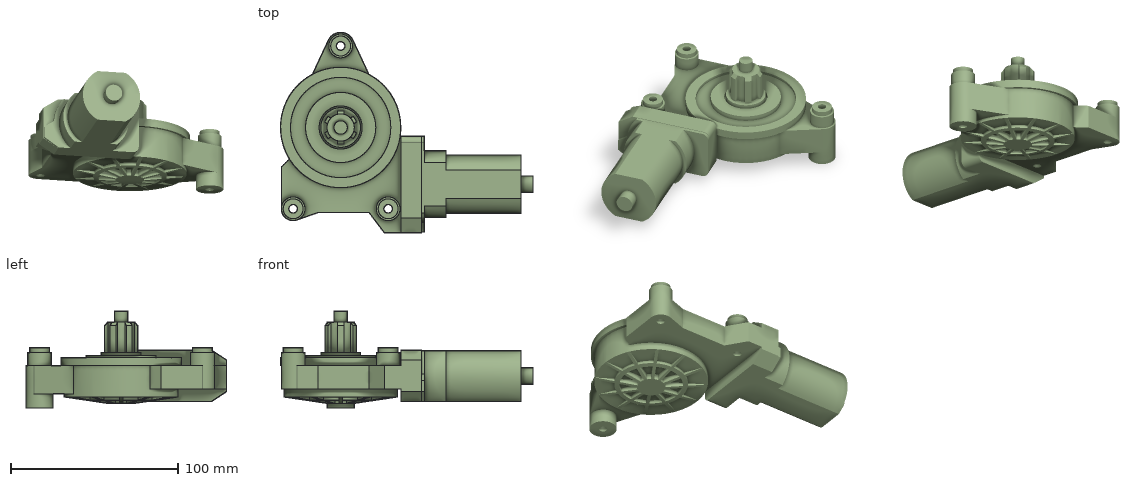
import cadquery as cq
import math


plate_top_z = 14.0
body_radius = 68 / 2
body_bottom_z = -4.7
plate_left_x = -35.5
plate_front_y = -50.9
plate_chamfer_start_y = -23.7
plate_front_left_x = -13.5
plate_front_right_x = 17.0
foot_left_x = 26.1

flange_radius = 72 / 2
flange_top_z = 18.8
well_radius = 60 / 2
well_floor_z = 17.0
disc_radius = 42 / 2
disc_top_z = 20.2
groove_radius = 25.8 / 2
hub_radius = 23.8 / 2
hub_top_z = 22.0

pinion_radius = 16.3 / 2
pinion_top_z = 40.0
spline_count = 6
spline_width = 4.0
spline_reach = 10.0
spline_chamfer_height = 2.1
shaft_radius = 8 / 2
shaft_top_z = 46.6

cone_bottom_z = -8.5
cone_bottom_radius = 8.5
rib_count = 12
rib_width = 2.0
ring_outer_radius = 22.0
ring_inner_radius = 19.0

boss_radius = 14.2 / 2
boss_shoulder_z = 21.9
boss_cap_radius = 11.9 / 2
boss_top_z = 24.8
bolt_hole_radius = 5 / 2
bolt_x = -(plate_left_x + boss_radius)
bolt_y = -48.6

lug_y = 48.73
lug_radius = 16.3 / 2
lug_web_bottom_z = -2.8
lug_bottom_z = -11.3
lug_root_x = 18.4
lug_root_y = math.sqrt(body_radius**2 - lug_root_x**2)

block_start_x = flange_radius
block_end_x = 48.2
block_bottom_z = -7.45
block_top_z = 23.35
block_back_y = -5.1
block_front_y = -63.0
block_chamfer_y = 9.0
block_chamfer_z = 5.9
block_round = 3.8
cap_end_x = 50.05
cap_front_y = -62.6
cap_arc_radius = 23.0
cap_arc_end_z = 8.9
cap_tail_top_z = 5.3

motor_y = -33.9
motor_z = 7.8
motor_half_height = motor_z - block_bottom_z
cap_top_z = motor_z + motor_half_height
motor_collar_radius = 40 / 2
motor_collar_end_x = 63.1
motor_can_radius = 35.0 / 2
motor_can_end_x = 107.9
motor_tip_radius = 10 / 2
motor_tip_end_x = 115.0


def rod(radius, bottom_z, top_z, x=0.0, y=0.0):
    """Vertical cylinder between two heights."""
    return cq.Workplane("XY", origin=(x, y, bottom_z)).circle(radius).extrude(top_z - bottom_z)


def tangent_point(center, radius, point, side):
    """Touch point on a circle of the tangent from a point; side is +1 or -1 around the circle."""
    dx = point[0] - center[0]
    dy = point[1] - center[1]
    angle = math.atan2(dy, dx) + side * math.acos(radius / math.hypot(dx, dy))
    return (center[0] + radius * math.cos(angle), center[1] + radius * math.sin(angle))


def housing_plate():
    """Flat plate and round body; the left screw boss rounds off the open corner of the plate."""
    corner_center = (-bolt_x, bolt_y)
    front_left = (plate_front_left_x, plate_front_y)
    touch = tangent_point(corner_center, boss_radius, front_left, -1)
    chamfer_run = block_back_y - plate_chamfer_start_y
    plate = (
        cq.Workplane("XY")
        .moveTo(plate_left_x, bolt_y)
        .lineTo(*corner_center)
        .lineTo(*touch)
        .lineTo(*front_left)
        .lineTo(plate_front_right_x, plate_front_y)
        .lineTo(foot_left_x, block_front_y)
        .lineTo(block_start_x, block_front_y)
        .lineTo(block_start_x, block_back_y)
        .lineTo(plate_left_x + chamfer_run, block_back_y)
        .lineTo(plate_left_x, plate_chamfer_start_y)
        .close()
        .extrude(plate_top_z)
    )
    return plate.union(rod(body_radius, body_bottom_z, plate_top_z))


def lug():
    touch = tangent_point((0, lug_y), lug_radius, (lug_root_x, lug_root_y), 1)
    web = (
        cq.Workplane("XY", origin=(0, 0, lug_web_bottom_z))
        .moveTo(0, 0)
        .lineTo(lug_root_x, lug_root_y)
        .lineTo(*touch)
        .lineTo(-touch[0], touch[1])
        .lineTo(-lug_root_x, lug_root_y)
        .close()
        .extrude(plate_top_z - lug_web_bottom_z)
    )
    return web.union(rod(lug_radius, lug_bottom_z, plate_top_z, 0, lug_y))


def screw_boss(x, y):
    shoulder = rod(boss_radius, 0, boss_shoulder_z, x, y)
    return shoulder.union(rod(boss_cap_radius, 0, boss_top_z, x, y))


def cover():
    """Flanged cover with a shallow well, a raised disc and a hub ringed by a groove."""
    flange = rod(flange_radius, plate_top_z, flange_top_z).cut(rod(well_radius, well_floor_z, flange_top_z))
    disc = rod(disc_radius, plate_top_z, disc_top_z).cut(rod(groove_radius, well_floor_z, disc_top_z))
    return flange.union(disc).union(rod(hub_radius, plate_top_z, hub_top_z))


def pinion():
    core = rod(pinion_radius, hub_top_z, pinion_top_z).union(rod(shaft_radius, hub_top_z, shaft_top_z))
    spline_envelope = (
        cq.Workplane("XZ")
        .moveTo(0, hub_top_z)
        .lineTo(spline_reach, hub_top_z)
        .lineTo(spline_reach, pinion_top_z - spline_chamfer_height)
        .lineTo(pinion_radius, pinion_top_z)
        .lineTo(0, pinion_top_z)
        .close()
        .revolve(360, (0, 0, 0), (0, 1, 0))
    )
    spline_bar = cq.Workplane("XY", origin=(0, 0, hub_top_z)).rect(spline_width, 2 * spline_reach)
    spline_pair = spline_bar.extrude(pinion_top_z - hub_top_z).intersect(spline_envelope)
    for i in range(spline_count // 2):
        core = core.union(spline_pair.rotate((0, 0, 0), (0, 0, 1), i * 360 / spline_count))
    return core


def ribbed_cone():
    """Radial ribs, a ring and a center hub, all trimmed by one shallow cone."""
    cone = (
        cq.Workplane("XZ")
        .moveTo(0, body_bottom_z)
        .lineTo(body_radius, body_bottom_z)
        .lineTo(cone_bottom_radius, cone_bottom_z)
        .lineTo(0, cone_bottom_z)
        .close()
        .revolve(360, (0, 0, 0), (0, 1, 0))
    )
    ring = rod(ring_outer_radius, cone_bottom_z, body_bottom_z)
    ring = ring.cut(rod(ring_inner_radius, cone_bottom_z, body_bottom_z))
    frame = ring.union(rod(cone_bottom_radius, cone_bottom_z, body_bottom_z))
    rib_length = 2 * body_radius
    rib_height = body_bottom_z - cone_bottom_z
    rib_pair = cq.Workplane("XY", origin=(0, 0, cone_bottom_z)).rect(rib_length, rib_width)
    rib_pair = rib_pair.extrude(rib_height)
    for i in range(rib_count // 2):
        frame = frame.union(rib_pair.rotate((0, 0, 0), (0, 0, 1), i * 360 / rib_count))
    return frame.intersect(cone)


def gearbox_block():
    block = (
        cq.Workplane("YZ", origin=(block_start_x, 0, 0))
        .moveTo(block_back_y, block_bottom_z)
        .lineTo(block_front_y + block_chamfer_y, block_bottom_z)
        .lineTo(block_front_y, block_bottom_z + block_chamfer_z)
        .lineTo(block_front_y, block_top_z - block_chamfer_z)
        .lineTo(block_front_y + block_chamfer_y, block_top_z)
        .lineTo(block_back_y, block_top_z)
        .close()
        .extrude(block_end_x - block_start_x)
    )
    return block.edges("|X and >Y").fillet(block_round)


def end_cap():
    """Thin plate on the block, curved around the motor with a low tail toward -Y."""
    arc_start_y = motor_y - math.sqrt(cap_arc_radius**2 - (cap_top_z - motor_z) ** 2)
    arc_end_y = motor_y - math.sqrt(cap_arc_radius**2 - (cap_arc_end_z - motor_z) ** 2)
    start_angle = math.atan2(cap_top_z - motor_z, arc_start_y - motor_y)
    end_angle = math.atan2(cap_arc_end_z - motor_z, arc_end_y - motor_y)
    mid_angle = (start_angle + end_angle) / 2
    arc_mid = (
        motor_y + cap_arc_radius * math.cos(mid_angle),
        motor_z + cap_arc_radius * math.sin(mid_angle),
    )
    tail_bottom_z = block_bottom_z + block_chamfer_z
    cap = (
        cq.Workplane("YZ", origin=(block_end_x, 0, 0))
        .moveTo(block_back_y, cap_top_z)
        .lineTo(arc_start_y, cap_top_z)
        .threePointArc(arc_mid, (arc_end_y, cap_arc_end_z))
        .lineTo(cap_front_y, cap_tail_top_z)
        .lineTo(cap_front_y, tail_bottom_z)
        .lineTo(block_front_y + block_chamfer_y, block_bottom_z)
        .lineTo(block_back_y, block_bottom_z)
        .close()
        .extrude(cap_end_x - block_end_x)
    )
    return cap.edges("|X and >Y").fillet(block_round)


def motor_section(radius, start_x, end_x):
    """Cylinder along the motor axis, cut to the motor height by flats."""
    length = end_x - start_x
    section = cq.Workplane("YZ", origin=(start_x, motor_y, motor_z)).circle(radius).extrude(length)
    slab = cq.Workplane("YZ", origin=(start_x, motor_y, motor_z))
    slab = slab.rect(2 * radius, 2 * motor_half_height).extrude(length)
    return section.intersect(slab)


def motor():
    collar = motor_section(motor_collar_radius, cap_end_x, motor_collar_end_x)
    can = motor_section(motor_can_radius, motor_collar_end_x, motor_can_end_x)
    tip = motor_section(motor_tip_radius, motor_can_end_x, motor_tip_end_x)
    return collar.union(can).union(tip)


bolt_points = [(-bolt_x, bolt_y), (bolt_x, bolt_y), (0, lug_y)]

result = housing_plate().union(lug()).union(cover()).union(pinion()).union(ribbed_cone())
result = result.union(gearbox_block()).union(end_cap()).union(motor())
for x, y in bolt_points:
    result = result.union(screw_boss(x, y))
for x, y in bolt_points:
    result = result.cut(rod(bolt_hole_radius, lug_bottom_z, boss_top_z, x, y))